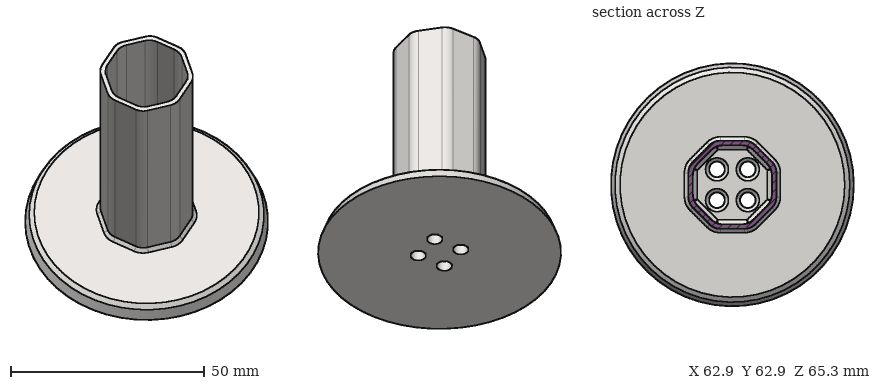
import cadquery as cq
import math

total_height = 65.3
base_diameter = 62.9
base_thickness = 4.05
base_shoulder_diameter = 60.7
base_top_diameter = 58.1
bevel = 1.0
tube_width = 22.85
wall = 1.25
tube_corner_radius = 3.9
bore_corner_radius = 4.25
floor_bevel = 1.1
hole_diameter = 4.0
hole_spacing = 7.95

bore_width = tube_width - 2 * wall
shoulder_height = base_thickness - bevel
floor_height = base_thickness
bore_depth = total_height - floor_height
countersink_diameter = hole_diameter + 2 * bevel


def octagon(width, bottom, height, taper=0):
    """Octagonal prism with flats facing X and Y; a negative taper widens it upward."""
    corner_diameter = width / math.cos(math.pi / 8)
    return (
        cq.Workplane("XY", origin=(0, 0, bottom))
        .transformed(rotate=(0, 0, 22.5))
        .polygon(8, corner_diameter)
        .extrude(height, taper=taper)
    )


def rounded_octagon(width, bottom, height, corner_radius):
    return octagon(width, bottom, height).edges("|Z").fillet(corner_radius)


def make_base():
    """Round foot plate with a tapered side and a bevelled rim."""
    profile = [
        (0, 0),
        (base_diameter / 2, 0),
        (base_shoulder_diameter / 2, shoulder_height),
        (base_top_diameter / 2, base_thickness),
        (0, base_thickness),
    ]
    return cq.Workplane("XZ").polyline(profile).close().revolve(360, (0, 0), (0, 1))


def make_tube():
    return rounded_octagon(tube_width, 0, total_height, tube_corner_radius)


def make_foot_flare():
    """Bevelled collar where the tube meets the plate."""
    collar = rounded_octagon(
        tube_width + 2 * bevel, 0, base_thickness + bevel, tube_corner_radius + bevel
    )
    return collar.faces(">Z").chamfer(bevel)


def make_bore():
    """Rounded bore whose lower end narrows to a sharp-cornered octagonal floor."""
    bore = rounded_octagon(bore_width, floor_height, bore_depth, bore_corner_radius)
    narrowing = octagon(bore_width - 2 * floor_bevel, floor_height, floor_bevel, taper=-45)
    upper = octagon(tube_width, floor_height + floor_bevel, bore_depth - floor_bevel)
    return bore.intersect(narrowing.union(upper))


def drill_floor(body):
    """Square pattern of four through holes, countersunk from inside the tube."""
    return (
        body.cut(make_bore())
        .copyWorkplane(cq.Workplane("XY", origin=(0, 0, floor_height)))
        .rarray(hole_spacing, hole_spacing, 2, 2)
        .cskHole(hole_diameter, countersink_diameter, 90)
    )


result = drill_floor(make_base().union(make_tube()).union(make_foot_flare()))